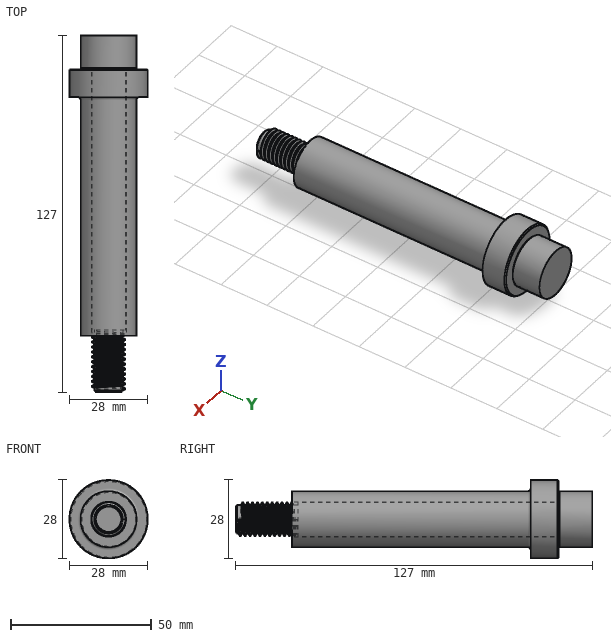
import cadquery as cq
import math


sleeve_length = 95.0
sleeve_radius = 10.0
collar_radius = 14.0
collar_width = 10.0
collar_chamfer = 0.5
neck_fillet = 1.0
bore_radius = 6.25

head_radius = 10.0
head_height = 12.0
head_under_chamfer = 0.4
thread_radius = 6.0
thread_pitch = 1.75
thread_depth = 0.9
thread_crest_width = thread_pitch / 8
core_radius = thread_radius - thread_depth
stick_out = 20.0
tip_y = -(sleeve_length + stick_out)
tip_chamfer = 0.6
last_turn_gap = 1.15
thread_turns = 11.5
thread_flank_angle = 30.0
ridge_embed = 0.1


def revolve_about_y(outline):
    return outline.close().revolve(360, (0, 0, 0), (0, 1, 0))


def make_sleeve():
    collar_front = -collar_width
    arc_reach = neck_fillet * (1 - math.sqrt(0.5))
    outline = (
        cq.Workplane("XY")
        .moveTo(bore_radius, 0)
        .lineTo(collar_radius - collar_chamfer, 0)
        .lineTo(collar_radius, -collar_chamfer)
        .lineTo(collar_radius, collar_front)
        .lineTo(sleeve_radius + neck_fillet, collar_front)
        .threePointArc(
            (sleeve_radius + arc_reach, collar_front - arc_reach),
            (sleeve_radius, collar_front - neck_fillet),
        )
        .lineTo(sleeve_radius, -sleeve_length)
        .lineTo(bore_radius, -sleeve_length)
    )
    return revolve_about_y(outline)


def make_thread_ridge():
    """Right-handed helical ridge around the Y axis, ending near the screw tip."""
    inner_radius = core_radius - ridge_embed
    half_crest = thread_crest_width / 2
    half_base = half_crest + (thread_radius - inner_radius) * math.tan(math.radians(thread_flank_angle))
    profile = (
        cq.Workplane("XZ")
        .moveTo(inner_radius, -half_base)
        .lineTo(thread_radius, -half_crest)
        .lineTo(thread_radius, half_crest)
        .lineTo(inner_radius, half_base)
        .close()
    )
    helix = cq.Wire.makeHelix(thread_pitch, thread_pitch * thread_turns, inner_radius)
    ridge = profile.sweep(cq.Workplane(obj=helix), isFrenet=True)
    return ridge.rotate((0, 0, 0), (1, 0, 0), -90).translate((0, tip_y + last_turn_gap, 0))


def make_screw():
    shank_end = tip_y + last_turn_gap + thread_pitch * (thread_turns + 0.5)
    outline = (
        cq.Workplane("XY")
        .moveTo(0, head_height)
        .lineTo(head_radius, head_height)
        .lineTo(head_radius, head_under_chamfer)
        .lineTo(head_radius - head_under_chamfer, 0)
        .lineTo(thread_radius, 0)
        .lineTo(thread_radius, shank_end)
        .lineTo(core_radius, shank_end)
        .lineTo(core_radius, tip_y + tip_chamfer)
        .lineTo(core_radius - tip_chamfer, tip_y)
        .lineTo(0, tip_y)
    )
    return revolve_about_y(outline).union(make_thread_ridge())


sleeve = make_sleeve()
screw = make_screw()

result = cq.Compound.makeCompound([sleeve.val(), *screw.solids().vals()])